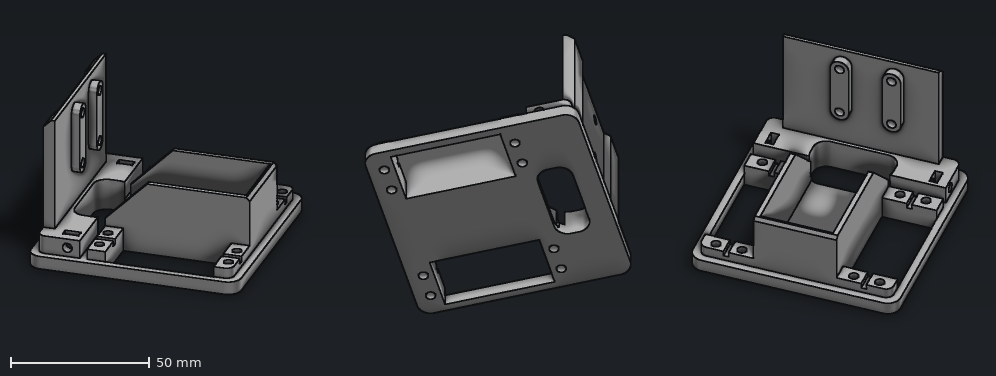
import cadquery as cq

plate_side = 80.0
plate_thickness = 5.0
plate_corner_radius = 5.0

body_corner_diameter = 6.0
body_corner_radius = body_corner_diameter / 2
rim_width = body_corner_radius
body_side = plate_side - 2 * rim_width
body_half = body_side / 2

screw_diameter = 3.5

block_length = 16.2
block_top = 12.0
block_front = -body_half + block_length

trap_length = 6.0
trap_width = 3.0
trap_x = -25.5
trap_y = 31.5
side_screw_z = 8.5
side_screw_run_out = trap_width

panel_top = 55.0
panel_width = 60.0
panel_thickness = 4.5
panel_chamfer = 3.0
panel_front = -body_half + panel_thickness
recess_width = 37.8
recess_depth = 2.5

pad_width = 7.0
pad_height = 3.2
panel_hole_pitch = 20.0
panel_hole_center_y = 3.0
panel_hole_center_z = 38.5

box_back = body_half
box_front = -18.0
box_width = 32.0
box_top = 28.0
box_wall = 2.0
box_floor = plate_thickness / 2
box_slope_rise = box_top - block_top
box_back_chamfer = 1.3

opening_length = 13.1
opening_corner_radius = 5.0
opening_center_x = box_front - opening_length / 2

lug_length = 7.0
lug_top = 9.0
lug_hole_pitch_x = 49.0
lug_hole_pitch_y = 10.0
lug_hole_first_x = -15.0
groove_width = 2.0
groove_depth = 2.0
window_front = box_front + lug_length
window_back = box_back - lug_length
bay_inner_y = box_width / 2
bay_center_y = (bay_inner_y + body_half) / 2


def block(x_range, y_range, z_range):
    """Axis-aligned block between the given limits."""
    corner = cq.Vector(x_range[0], y_range[0], z_range[0])
    size = [limits[1] - limits[0] for limits in (x_range, y_range, z_range)]
    return cq.Workplane(cq.Solid.makeBox(*size, corner))


def centered(width, middle=0.0):
    """Limits of a span of the given width about a middle."""
    return (middle - width / 2, middle + width / 2)


def rounded_square(side, radius, bottom, top):
    slab = cq.Workplane("XY").workplane(offset=bottom).rect(side, side).extrude(top - bottom)
    return slab.edges("|Z").fillet(radius)


def make_raised_block():
    body = rounded_square(body_side, body_corner_radius, plate_thickness, block_top)
    strip = block((-body_half, block_front), centered(body_side), (plate_thickness, block_top))
    return body.intersect(strip)


def make_panel():
    back = -body_half
    outline = [
        (back, plate_thickness),
        (panel_front, plate_thickness),
        (panel_front, panel_top),
        (back + panel_chamfer, panel_top),
        (back, panel_top - panel_chamfer),
    ]
    return cq.Workplane("XZ").polyline(outline).close().extrude(panel_width / 2, both=True)


def make_panel_recess():
    back = -body_half
    return block((back, back + recess_depth), centered(recess_width), (plate_thickness, panel_top))


def panel_hole_columns():
    return centered(panel_hole_pitch, panel_hole_center_y)


def make_pads():
    columns = [(y, panel_hole_center_z) for y in panel_hole_columns()]
    pads = cq.Workplane("YZ").workplane(offset=panel_front).pushPoints(columns)
    return pads.slot2D(panel_hole_pitch + pad_width, pad_width, 90).extrude(pad_height)


def make_panel_holes():
    rows = centered(panel_hole_pitch, panel_hole_center_z)
    centers = [(y, z) for y in panel_hole_columns() for z in rows]
    holes = cq.Workplane("YZ").workplane(offset=-body_half).pushPoints(centers)
    return holes.circle(screw_diameter / 2).extrude(panel_thickness + pad_height)


def make_box_shell():
    outline = [
        (box_front, plate_thickness),
        (box_back, plate_thickness),
        (box_back, box_top - box_back_chamfer),
        (box_back - box_back_chamfer, box_top),
        (box_front + box_slope_rise, box_top),
        (box_front, block_top),
    ]
    return cq.Workplane("XZ").polyline(outline).close().extrude(box_width / 2, both=True)


def make_box_cavity():
    """Inside of the box, sunk into the plate and running out into the opening."""
    inner_width = box_width - 2 * box_wall
    return block((opening_center_x, box_back - box_wall), centered(inner_width), (box_floor, box_top))


def make_opening():
    cut = block(centered(opening_length, opening_center_x), centered(box_width), (0, block_top))
    return cut.edges("|Z").fillet(opening_corner_radius)


def make_lugs():
    body = rounded_square(body_side, body_corner_radius, plate_thickness, lug_top)
    strips = block((box_front, window_front), centered(body_side), (plate_thickness, lug_top))
    strips = strips.union(block((window_back, box_back), centered(body_side), (plate_thickness, lug_top)))
    return body.intersect(strips)


def make_bay_cuts(side):
    """Window, lug grooves and lug holes on one side of the box (side is +1 or -1)."""
    middle = side * bay_center_y
    cuts = block((window_front, window_back), centered(body_half - bay_inner_y, middle), (0, lug_top))
    grooves = block((box_front, box_back), centered(groove_width, middle), (lug_top - groove_depth, lug_top))
    centers = [
        (x, y)
        for x in (lug_hole_first_x, lug_hole_first_x + lug_hole_pitch_x)
        for y in centered(lug_hole_pitch_y, middle)
    ]
    holes = cq.Workplane("XY").pushPoints(centers).circle(screw_diameter / 2).extrude(lug_top)
    return cuts.union(grooves).union(holes)


def make_nut_trap(side):
    """Nut slot open at the top of the raised block, with its screw bore from the side."""
    middle = side * trap_y
    slot = block(centered(trap_length, trap_x), centered(trap_width, middle), (plate_thickness, block_top))
    bore_depth = body_half - trap_y + trap_width / 2 + side_screw_run_out
    start = cq.Vector(trap_x, side * body_half, side_screw_z)
    bore = cq.Solid.makeCylinder(screw_diameter / 2, bore_depth, start, cq.Vector(0, -side, 0))
    return slot.union(cq.Workplane(bore))


result = rounded_square(plate_side, plate_corner_radius, 0, plate_thickness)
for solid in (make_raised_block(), make_panel(), make_pads(), make_lugs(), make_box_shell()):
    result = result.union(solid)
for cut in (make_panel_recess(), make_panel_holes(), make_box_cavity(), make_opening()):
    result = result.cut(cut)
for side in (1, -1):
    result = result.cut(make_bay_cuts(side)).cut(make_nut_trap(side))